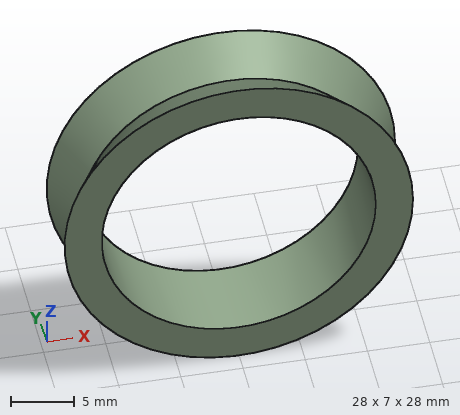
import cadquery as cq

outer_diameter = 28.0
bore_diameter = 22.0
groove_diameter = 24.0
width = 7.0

outer_radius = outer_diameter / 2
bore_radius = bore_diameter / 2
groove_radius = groove_diameter / 2
half_width = width / 2

section = (
    cq.Workplane("XY")
    .moveTo(bore_radius, -half_width)
    .lineTo(outer_radius, -half_width)
    .lineTo(groove_radius, 0)
    .lineTo(outer_radius, half_width)
    .lineTo(bore_radius, half_width)
    .close()
)

result = section.revolve(360, (0, 0, 0), (0, 1, 0))